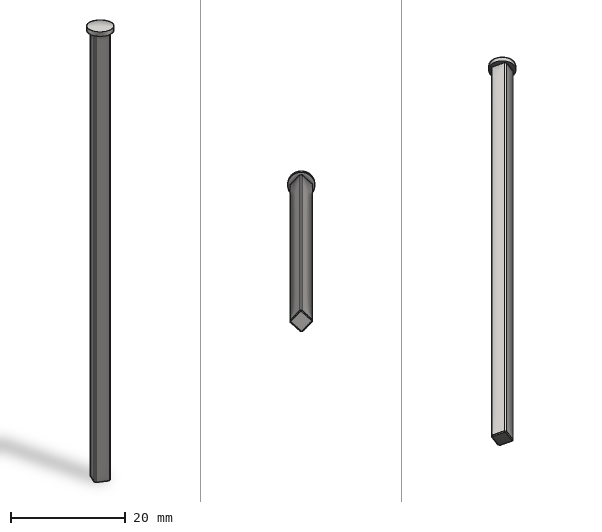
import cadquery as cq

total_length = 87.9
head_diameter = 4.75
head_thickness = 0.9
shank_width = 3.0
corner_chamfer = 0.3
tip_chamfer = 0.2

shank_length = total_length - head_thickness


def make_shank():
    """Square bar with chamfered long corners and a chamfered tip."""
    bar = cq.Workplane("XY").rect(shank_width, shank_width).extrude(shank_length)
    bar = bar.edges("|Z").chamfer(corner_chamfer)
    return bar.faces("<Z").edges().chamfer(tip_chamfer)


def make_head():
    """Round flat disc on the upper end of the shank."""
    base = cq.Workplane("XY").workplane(offset=shank_length)
    return base.circle(head_diameter / 2).extrude(head_thickness)


shank = make_shank()
head = make_head()

result = cq.Compound.makeCompound([shank.val(), head.val()])